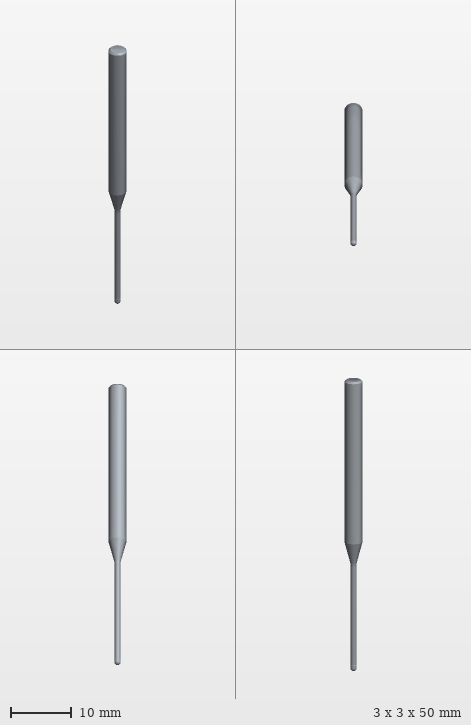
import cadquery as cq
import math

total_length = 50.0
shank_radius = 3.0 / 2
neck_radius = 0.95 / 2
ball_radius = 0.5

cutter_top = 1.0
neck_start = 1.15
neck_end = 18.0

flare_radius = 3.0
taper_angle = math.radians(15)
flare_end = neck_end + flare_radius * math.sin(taper_angle)
flare_end_radius = neck_radius + flare_radius * (1 - math.cos(taper_angle))
taper_end = flare_end + (shank_radius - flare_end_radius) / math.tan(taper_angle)

chamfer = 0.3


def revolve_profile(profile):
    """Turn a closed half profile (radius, height) about the Z axis."""
    return profile.close().revolve(360, (0, 0, 0), (0, 1, 0))


def make_cutter():
    """Ball-nosed cutting tip with a short full-width land."""
    ball_mid = ball_radius * math.sin(math.radians(45))
    profile = (
        cq.Workplane("XZ")
        .moveTo(0, 0)
        .threePointArc((ball_mid, ball_radius - ball_mid), (ball_radius, ball_radius))
        .lineTo(ball_radius, cutter_top)
        .lineTo(0, cutter_top)
    )
    return revolve_profile(profile)


def make_neck():
    """Slender neck: short step-down taper, straight stem, concave flare and taper to the shank."""
    profile = (
        cq.Workplane("XZ")
        .moveTo(0, cutter_top)
        .lineTo(ball_radius, cutter_top)
        .lineTo(neck_radius, neck_start)
        .lineTo(neck_radius, neck_end)
        .tangentArcPoint((flare_end_radius, flare_end), relative=False)
        .lineTo(shank_radius, taper_end)
        .lineTo(0, taper_end)
    )
    return revolve_profile(profile)


def make_shank():
    """Straight cylindrical shank with a chamfered rear end."""
    profile = (
        cq.Workplane("XZ")
        .moveTo(0, taper_end)
        .lineTo(shank_radius, taper_end)
        .lineTo(shank_radius, total_length - chamfer)
        .lineTo(shank_radius - chamfer, total_length)
        .lineTo(0, total_length)
    )
    return revolve_profile(profile)


cutter = make_cutter()
neck = make_neck()
shank = make_shank()

result = cq.Compound.makeCompound([cutter.val(), neck.val(), shank.val()])